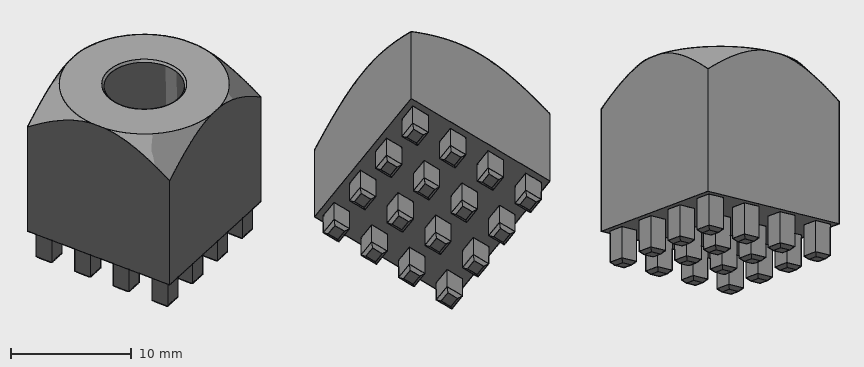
import cadquery as cq
import math

body_width = 14.0
total_height = 16.5
pin_length = 3.0
body_height = total_height - pin_length

top_face_diameter = 14.05
bevel_angle = 45.0

hole_diameter = 6.65
countersink_diameter = 7.03
hole_depth = 10.0
drill_point_angle = 118.0

pins_per_side = 4
pin_pitch = 3.8
pin_width = 1.57
pin_chamfer = 0.3


def make_body():
    """Square block resting on Z = 0, intersected with the bevel cone."""
    block = cq.Workplane("XY").box(body_width, body_width, body_height, centered=(True, True, False))
    top_radius = top_face_diameter / 2
    cone_base_radius = top_radius + body_height / math.tan(math.radians(bevel_angle))
    cone = cq.Workplane("XZ").polyline([
        (0, 0),
        (cone_base_radius, 0),
        (top_radius, body_height),
        (0, body_height),
    ]).close().revolve(360, (0, 0), (0, 1))
    return block.intersect(cone)


def make_hole():
    """Revolved cutter: countersink, straight wall and drill point."""
    radius = hole_diameter / 2
    countersink_radius = countersink_diameter / 2
    countersink_depth = countersink_radius - radius
    wall_end = body_height - hole_depth
    point_depth = radius / math.tan(math.radians(drill_point_angle / 2))
    return cq.Workplane("XZ").polyline([
        (0, wall_end - point_depth),
        (radius, wall_end),
        (radius, body_height - countersink_depth),
        (countersink_radius, body_height),
        (0, body_height),
    ]).close().revolve(360, (0, 0), (0, 1))


def make_pins():
    """Grid of square pins hanging below the body, each with chamfered tip edges."""
    pin = (
        cq.Workplane("XY")
        .rect(pin_width, pin_width)
        .extrude(-pin_length)
        .faces("<Z")
        .chamfer(pin_chamfer)
    )
    return (
        cq.Workplane("XY")
        .rarray(pin_pitch, pin_pitch, pins_per_side, pins_per_side)
        .eachpoint(lambda place: pin.val().moved(place))
    )


result = make_body().cut(make_hole()).union(make_pins())